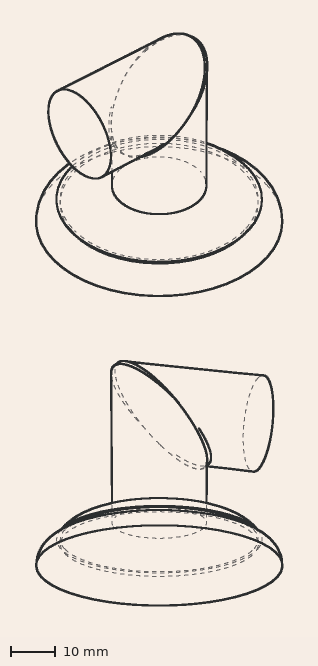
import cadquery as cq
import math

BASE_RADIUS = 27.5
LOWER_HEIGHT = 5.05
GROOVE_RADIUS = 22.1
GROOVE_HEIGHT = 1.1
LIP_RADIUS = 22.95
BASE_HEIGHT = 10.05
TOP_FLAT_RADIUS = 15.4

OVERALL_HEIGHT = 46.85
POST_FOOT_RADIUS = 10.55
BEND_RADIUS = 10.7
ARM_END_RADIUS = 10.85
ARM_REACH = 23.25
AXIS_HEIGHT = OVERALL_HEIGHT - ARM_END_RADIUS

BLEND_ANGLE = 2.5
MITRE_ANGLE = 45.0


def make_base():
    """Revolve the base profile about Z; its upper arc is tangent to the flat top."""
    lip_z = LOWER_HEIGHT + GROOVE_HEIGHT
    dome_run = LIP_RADIUS - TOP_FLAT_RADIUS
    dome_rise = BASE_HEIGHT - lip_z
    dome_radius = (dome_run**2 + dome_rise**2) / (2 * dome_rise)
    half_sweep = math.asin(dome_run / dome_radius) / 2
    dome_middle = (
        TOP_FLAT_RADIUS + dome_radius * math.sin(half_sweep),
        BASE_HEIGHT - dome_radius * (1 - math.cos(half_sweep)),
    )
    edge_middle = (
        BASE_RADIUS - LOWER_HEIGHT * (1 - math.sqrt(0.5)),
        LOWER_HEIGHT * math.sqrt(0.5),
    )
    return (
        cq.Workplane("XZ")
        .lineTo(BASE_RADIUS, 0)
        .threePointArc(edge_middle, (BASE_RADIUS - LOWER_HEIGHT, LOWER_HEIGHT))
        .lineTo(GROOVE_RADIUS, LOWER_HEIGHT)
        .lineTo(GROOVE_RADIUS, lip_z)
        .lineTo(LIP_RADIUS, lip_z)
        .threePointArc(dome_middle, (TOP_FLAT_RADIUS, BASE_HEIGHT))
        .lineTo(0, BASE_HEIGHT)
        .close()
        .revolve(360, (0, 0), (0, 1))
    )


def tapered_leg(start, direction, length, start_radius):
    """Cone that reaches BEND_RADIUS at the bend and runs on past it to be mitred."""
    overrun = 2 * BEND_RADIUS
    full_length = length + overrun
    far_radius = start_radius + (BEND_RADIUS - start_radius) * full_length / length
    return cq.Workplane(cq.Solid.makeCone(start_radius, far_radius, full_length, start, direction))


def mitre_half(lower):
    """Large block on one side of the mitre plane."""
    size = 4 * OVERALL_HEIGHT
    offset = -size / 2 if lower else size / 2
    block = cq.Workplane("XY").box(size, size, size).translate((0, 0, offset))
    return block.rotate((0, 0, 0), (1, 0, 0), MITRE_ANGLE).translate((0, 0, AXIS_HEIGHT))


def blend_wedge(reach, side, half_width=BEND_RADIUS):
    """Half ellipse swept about the bend's X axis; side is 1 for outside, -1 for inside."""
    wedge = (
        cq.Workplane("XY")
        .moveTo(-half_width, 0)
        .lineTo(half_width, 0)
        .ellipseArc(half_width, reach, 0, 180, startAtCurrent=True)
        .close()
        .revolve(2 * BLEND_ANGLE, (0, 0), (1, 0))
        .rotate((0, 0, 0), (1, 0, 0), -BLEND_ANGLE)
    )
    turn = MITRE_ANGLE if side > 0 else MITRE_ANGLE + 180
    return wedge.rotate((0, 0, 0), (1, 0, 0), turn).translate((0, 0, AXIS_HEIGHT))


def make_elbow():
    """Mitred post and arm, bevelled on the outside of the bend and filled on the inside."""
    post_foot = cq.Vector(0, 0, BASE_HEIGHT)
    post_length = AXIS_HEIGHT - BASE_HEIGHT
    post = tapered_leg(post_foot, cq.Vector(0, 0, 1), post_length, POST_FOOT_RADIUS)
    arm_end = cq.Vector(0, -ARM_REACH, AXIS_HEIGHT)
    arm = tapered_leg(arm_end, cq.Vector(0, 1, 0), ARM_REACH, ARM_END_RADIUS)
    elbow = post.intersect(mitre_half(lower=True)).union(arm.intersect(mitre_half(lower=False)))

    outer_reach = BEND_RADIUS / math.cos(math.radians(MITRE_ANGLE - BLEND_ANGLE))
    inner_reach = BEND_RADIUS / math.cos(math.radians(MITRE_ANGLE + BLEND_ANGLE))
    clearance = 2 * BEND_RADIUS
    corner_cut = blend_wedge(clearance, 1, half_width=clearance)
    outer_blend = blend_wedge(outer_reach, 1)
    inner_blend = blend_wedge(inner_reach, -1)
    return elbow.cut(corner_cut).union(outer_blend).union(inner_blend)


base = make_base()
elbow = make_elbow()
result = cq.Compound.makeCompound([base.val(), *elbow.solids().vals()])